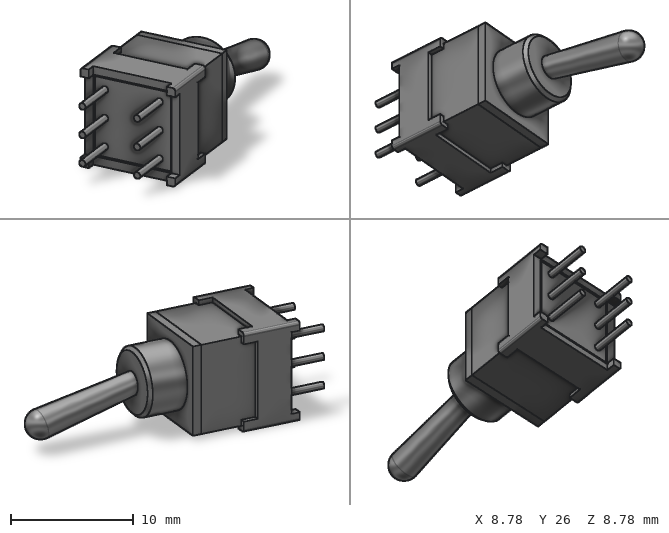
import cadquery as cq
import math


skirt_width = 8.78
skirt_edge_y = 3.12
arm_top_y = 4.4
arm_gap = 6.84
foot_height = 0.78
foot_width = 0.78
corner_radius = 0.25
opening_width = skirt_width - 2 * foot_width
floor_thickness = 0.78

case_width = 7.9
case_top_y = 8.08

flange_top_y = 8.85
bushing_top_y = 12.37
bushing_diameter = 6.0
bushing_chamfer = 0.3

plug_width = 7.0
plate_thickness = 0.08
pin_diameter = 0.6
pin_length = 3.87
column_pitch = 5.07
row_pitch = column_pitch / 2

overall_length = 26
lever_tip_y = overall_length - pin_length
lever_tip_radius = 1.3
lever_root_radius = 0.95
lever_tilt = 12.7
pivot_y = 12.15
root_depth = 1.05


def block(width, start_y, end_y, depth=None):
    """Centred block, width in X and depth in Z (square by default), from start_y to end_y."""
    depth = depth or width
    centre_y = (start_y + end_y) / 2
    return cq.Workplane("XY").box(width, end_y - start_y, depth).translate((0, centre_y, 0))


def cylinder(diameter, start_y, end_y):
    """Cylinder on the Y axis from start_y to end_y."""
    return cq.Workplane("XZ", origin=(0, end_y, 0)).circle(diameter / 2).extrude(end_y - start_y)


def make_skirt():
    skirt = block(skirt_width, -foot_height, arm_top_y).edges("|Y").fillet(corner_radius)
    for gap, start_y, end_y in (
        (opening_width, -foot_height, 0),
        (arm_gap, skirt_edge_y, arm_top_y),
    ):
        skirt = skirt.cut(block(gap, start_y, end_y, skirt_width))
        skirt = skirt.cut(block(skirt_width, start_y, end_y, gap))
    case_seat = block(case_width, floor_thickness, arm_top_y)
    plate_recess = block(opening_width, 0, plate_thickness)
    plug_opening = block(plug_width, plate_thickness, floor_thickness)
    return skirt.cut(case_seat).cut(plate_recess).cut(plug_opening)


def make_case():
    return block(case_width, floor_thickness, case_top_y)


def make_terminal_base():
    base = block(opening_width, 0, plate_thickness)
    base = base.union(block(plug_width, plate_thickness, floor_thickness))
    pins = (
        cq.Workplane("XZ")
        .rarray(column_pitch, row_pitch, 2, 3)
        .circle(pin_diameter / 2)
        .extrude(pin_length)
    )
    return base.union(pins)


def make_lever():
    """Tapered handle with a hemispherical tip, tilted towards -Z about the pivot."""
    tilt = math.radians(lever_tilt)
    handle_length = (lever_tip_y - lever_tip_radius - pivot_y) / math.cos(tilt)
    profile = (
        cq.Workplane("XY")
        .moveTo(0, -root_depth)
        .lineTo(lever_root_radius, -root_depth)
        .lineTo(lever_tip_radius, handle_length)
        .radiusArc((0, handle_length + lever_tip_radius), -lever_tip_radius)
        .close()
    )
    handle = profile.revolve(360, (0, 0), (0, 1))
    return handle.rotate((0, 0, 0), (1, 0, 0), -lever_tilt).translate((0, pivot_y, 0))


def make_bushing(lever):
    """Flanged bushing with a socket that fits the lever root."""
    flange = block(case_width, case_top_y, flange_top_y)
    barrel = cylinder(bushing_diameter, flange_top_y, bushing_top_y)
    barrel = barrel.faces(">Y").chamfer(bushing_chamfer)
    return flange.union(barrel).cut(lever)


skirt = make_skirt()
case = make_case()
terminal_base = make_terminal_base()
lever = make_lever()
bushing = make_bushing(lever)

result = cq.Compound.makeCompound(
    [skirt.val(), case.val(), terminal_base.val(), lever.val(), bushing.val()]
)